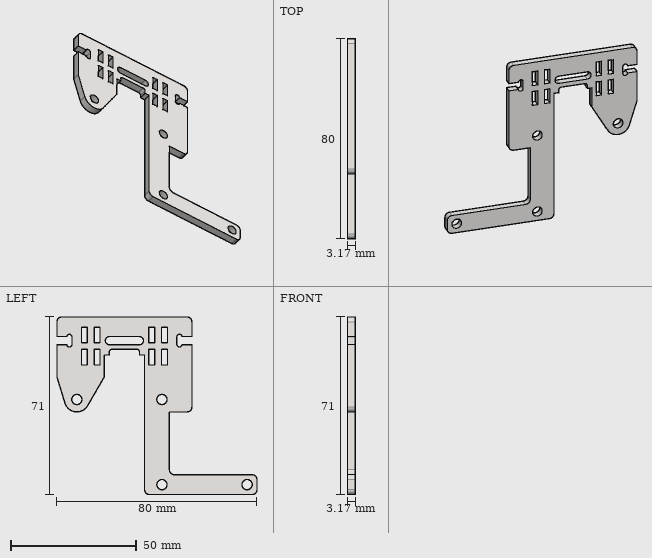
import cadquery as cq
import math


thickness = 3.17
total_width = 80.0
total_height = 71.0

panel_width = 54.0
panel_height = 38.0
panel_middle = panel_width / 2
corner_radius = 2.0

hole_diameter = 4.0
hole_pitch = 34.0
edge_to_hole = 4.0
right_hole_across = total_width - edge_to_hole
middle_hole_across = right_hole_across - hole_pitch
left_hole_across = middle_hole_across - hole_pitch
lower_hole_down = total_height - edge_to_hole
upper_hole_down = lower_hole_down - hole_pitch

channel_width = 16.0
channel_top = 15.3
channel_left = panel_middle - channel_width / 2
channel_right = panel_middle + channel_width / 2
step_width = 12.0
step_top = 13.0
step_left = panel_middle - step_width / 2
step_right = panel_middle + step_width / 2
step_radius = 1.0

lug_radius = panel_height - upper_hole_down
lug_shoulder_down = 24.0

leg_width = 10.0
leg_right = channel_right + leg_width
arm_height = 2 * edge_to_hole
arm_top = total_height - arm_height

slot_level = 9.5
slot_width = thickness
slot_length = step_width + slot_width
notch_depth = 6.0
notch_head_width = 2.0
notch_head_length = 5.0

lying = 0
upright = 90

window_width = 2.25
window_height = 6.15
window_offsets = (11.0, 16.1)
window_levels = (7.25, 16.1)


def at(across, down):
    """Profile position as (Y, Z), with the plate centred on the origin."""
    return (total_width / 2 - across, total_height / 2 - down)


def lug_tangent(shoulder_across, side):
    """Tangent point on the lug for a line from a shoulder; side is -1 for left, +1 for right."""
    run = shoulder_across - left_hole_across
    rise = upper_hole_down - lug_shoulder_down
    toward_shoulder = math.atan2(rise, run)
    turn = math.acos(lug_radius / math.hypot(run, rise))
    angle = toward_shoulder - side * turn
    return at(
        left_hole_across + lug_radius * math.cos(angle),
        upper_hole_down - lug_radius * math.sin(angle),
    )


def prism(sketch):
    return sketch.extrude(thickness / 2, both=True)


def box_cutter(across, down, width, height):
    return prism(cq.Workplane("YZ").center(*at(across, down)).rect(width, height))


def slot_cutter(across, down, length, width, angle):
    return prism(cq.Workplane("YZ").center(*at(across, down)).slot2D(length, width, angle))


def round_corners(body, corners, radius):
    """Fillet the through-thickness edges standing at the given profile positions."""
    for corner in corners:
        edge = cq.selectors.NearestToPointSelector((0, *at(*corner)))
        body = body.edges("|X").edges(edge).fillet(radius)
    return body


def make_plate():
    outline = (
        cq.Workplane("YZ")
        .moveTo(*at(0, 0))
        .lineTo(*at(0, lug_shoulder_down))
        .lineTo(*lug_tangent(0, -1))
        .threePointArc(at(left_hole_across, panel_height), lug_tangent(channel_left, 1))
        .lineTo(*at(channel_left, lug_shoulder_down))
        .lineTo(*at(channel_left, channel_top))
        .lineTo(*at(step_left, channel_top))
        .lineTo(*at(step_left, step_top))
        .lineTo(*at(step_right, step_top))
        .lineTo(*at(step_right, channel_top))
        .lineTo(*at(channel_right, channel_top))
        .lineTo(*at(channel_right, total_height))
        .lineTo(*at(total_width, total_height))
        .lineTo(*at(total_width, arm_top))
        .lineTo(*at(leg_right, arm_top))
        .lineTo(*at(leg_right, panel_height))
        .lineTo(*at(panel_width, panel_height))
        .lineTo(*at(panel_width, 0))
        .close()
    )
    main_corners = [
        (0, 0),
        (panel_width, 0),
        (panel_width, panel_height),
        (leg_right, arm_top),
        (total_width, arm_top),
        (total_width, total_height),
        (channel_right, total_height),
    ]
    step_corners = [(step_left, step_top), (step_right, step_top)]
    body = round_corners(prism(outline), main_corners, corner_radius)
    return round_corners(body, step_corners, step_radius)


def cut_mounting_holes(body):
    centres = [
        at(left_hole_across, upper_hole_down),
        at(middle_hole_across, upper_hole_down),
        at(middle_hole_across, lower_hole_down),
        at(right_hole_across, lower_hole_down),
    ]
    return body.cut(prism(cq.Workplane("YZ").pushPoints(centres).circle(hole_diameter / 2)))


def cut_central_slot(body):
    return body.cut(slot_cutter(panel_middle, slot_level, slot_length, slot_width, lying))


def cut_edge_notches(body):
    head_inset = notch_depth - notch_head_width / 2
    for edge_across, inward in ((0, 1), (panel_width, -1)):
        head_across = edge_across + inward * head_inset
        stem_across = edge_across + inward * head_inset / 2
        body = body.cut(box_cutter(stem_across, slot_level, head_inset, slot_width))
        body = body.cut(slot_cutter(head_across, slot_level, notch_head_length, notch_head_width, upright))
    return body


def cut_windows(body):
    for offset in window_offsets:
        for across in (offset, panel_width - offset):
            for row in window_levels:
                body = body.cut(box_cutter(across, row, window_width, window_height))
    return body


plate = make_plate()
plate = cut_mounting_holes(plate)
plate = cut_central_slot(plate)
plate = cut_edge_notches(plate)
plate = cut_windows(plate)
result = plate.solids()